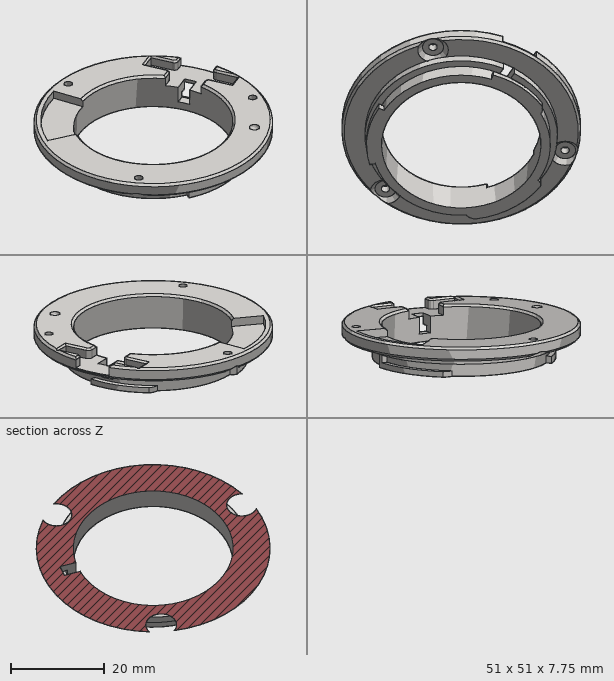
import cadquery as cq
import math

flange_thickness = 3.05
step_thickness = 1.7
total_height = 7.75
bottom_z = -total_height

flange_radius = 25.5
step_radius = 20.55
barrel_radius = 19.0
bore_radius = 34.0 / 2
tab_radius = 20.25
edge_chamfer = 0.5
chamfer_angle = 45

tab_height = 1.2
thick_tab_height = 1.55
tab_lead_in = 5.2
tab_end_bulge = 0.2
stop_end_angle = 231.2
stop_start_angle = 228.3
stop_undercut = 2.9
front_tab_end = 276.8
rear_tab_start = 125
rear_tab_end = 163.6
side_tab_start = 0
side_tab_end = 45

screw_circle_radius = 22.95
screw_hole_diameter = 1.8
screw_angles = (90, 210, 330)
countersink_radius = 3.25
countersink_depth = 1.0
countersink_angle = 45

dimple_circle_radius = 21.85
dimple_angle = 60
dimple_diameter = 2.15

pocket_outer_radius = 24.0
pocket_depth = 1.85
pocket_start_angle = 220
pocket_end_x = -0.95

recess_angle = 135
recess_depth = 2.3
recess_arm_inner = 19.45
recess_arm_outer = 22.75
recess_arm_half_length = 10.05
recess_channel_half_width = 4.15
recess_corner_radius = 0.85
recess_chamfer = 0.4
recess_channel_inner = 12.75
recess_channel_outer = 28.05

slot_width = 2.65
slot_bottom_depth = 5.95


def polar(radius, angle):
    """Point at the given radius and angle in degrees."""
    turn = math.radians(angle)
    return (radius * math.cos(turn), radius * math.sin(turn))


def disc(radius, top_z, height):
    return cq.Workplane("XY").workplane(offset=top_z - height).circle(radius).extrude(height)


def end_face(outline, target, rounded):
    """Continue a tab outline to target, flat or bulging away from the tab."""
    if rounded:
        return outline.sagittaArc(target, -tab_end_bulge)
    return outline.lineTo(*target)


def tab(inner_start, outer_start, outer_end, inner_end, height):
    """Lug on the barrel, rising from the bottom face; sloping ends are rounded."""
    root_radius = (bore_radius + barrel_radius) / 2
    outer_middle = (outer_start + outer_end) / 2
    inner_middle = (inner_start + inner_end) / 2
    outline = (
        cq.Workplane("XY")
        .workplane(offset=bottom_z)
        .moveTo(*polar(root_radius, inner_start))
        .lineTo(*polar(barrel_radius, inner_start))
    )
    outline = end_face(outline, polar(tab_radius, outer_start), inner_start != outer_start)
    outline = outline.threePointArc(polar(tab_radius, outer_middle), polar(tab_radius, outer_end))
    outline = end_face(outline, polar(barrel_radius, inner_end), inner_end != outer_end)
    return (
        outline.lineTo(*polar(root_radius, inner_end))
        .threePointArc(polar(root_radius, inner_middle), polar(root_radius, inner_start))
        .close()
        .extrude(height)
    )


def screw_holes():
    """Through holes that open into shallow flat-topped cones on the flange underside."""
    points = [polar(screw_circle_radius, angle) for angle in screw_angles]
    hole_radius = screw_hole_diameter / 2
    holes = cq.Workplane("XY").pushPoints(points).circle(hole_radius).extrude(-flange_thickness)
    cones = (
        cq.Workplane("XY")
        .workplane(offset=-flange_thickness)
        .pushPoints(points)
        .circle(countersink_radius)
        .extrude(countersink_depth, taper=countersink_angle)
    )
    return holes.union(cones)


def ring_body():
    flange = disc(flange_radius, 0, flange_thickness).edges().chamfer(edge_chamfer)
    flange = flange.cut(screw_holes())
    step = disc(step_radius, -flange_thickness, step_thickness)
    barrel_top = -flange_thickness - step_thickness
    barrel = disc(barrel_radius, barrel_top, total_height + barrel_top)
    return flange.union(step).union(barrel)


def bayonet_tabs():
    stop_height = total_height - flange_thickness - step_thickness
    stop_inner_start = stop_start_angle - stop_undercut
    stop = tab(stop_inner_start, stop_start_angle, stop_end_angle, stop_end_angle, stop_height)
    front = tab(
        stop_inner_start, stop_start_angle, front_tab_end, front_tab_end + tab_lead_in, tab_height
    )
    rear = tab(rear_tab_start, rear_tab_start, rear_tab_end, rear_tab_end + tab_lead_in, tab_height)
    side = tab(side_tab_start, side_tab_start, side_tab_end, side_tab_end, thick_tab_height)
    return front.union(stop).union(rear).union(side)


def bore():
    """Through bore with a chamfered top edge."""
    hole = disc(bore_radius, 0, total_height)
    mouth = cq.Workplane("XY").circle(bore_radius + edge_chamfer).extrude(-edge_chamfer, taper=chamfer_angle)
    return hole.union(mouth)


def dimple():
    x, y = polar(dimple_circle_radius, dimple_angle)
    return cq.Workplane("XY").sphere(dimple_diameter / 2).translate((x, y, 0))


def arc_pocket():
    """Pocket between a radial wall and a wall parallel to the YZ plane."""
    start = polar(pocket_outer_radius, pocket_start_angle)
    end = (pocket_end_x, -math.sqrt(pocket_outer_radius**2 - pocket_end_x**2))
    end_angle = 360 + math.degrees(math.atan2(end[1], end[0]))
    middle = polar(pocket_outer_radius, (pocket_start_angle + end_angle) / 2)
    return (
        cq.Workplane("XY")
        .moveTo(0, 0)
        .lineTo(*start)
        .threePointArc(middle, end)
        .lineTo(pocket_end_x, 0)
        .close()
        .extrude(-pocket_depth)
    )


def cross_recess():
    """Cross-shaped cutter with rounded inside corners and a chamfered rim."""
    half_channel = recess_channel_half_width
    half_arm = recess_arm_half_length
    half_outline = [
        (recess_channel_inner, half_channel),
        (recess_arm_inner, half_channel),
        (recess_arm_inner, half_arm),
        (recess_arm_outer, half_arm),
        (recess_arm_outer, half_channel),
        (recess_channel_outer, half_channel),
    ]
    mirrored = [(x, -y) for x, y in reversed(half_outline)]
    cross = cq.Workplane("XY").polyline(half_outline + mirrored).close().extrude(-recess_depth)
    corner_points = [
        (x, y, -recess_depth / 2)
        for x in (recess_arm_inner, recess_arm_outer)
        for y in (-half_channel, half_channel)
    ]
    for point in corner_points:
        cross = cross.edges(cq.selectors.NearestToPointSelector(point)).fillet(recess_corner_radius)
    rim = (
        cross.faces(">Z")
        .wires()
        .toPending()
        .offset2D(recess_chamfer, "intersection")
        .extrude(-recess_chamfer, taper=chamfer_angle)
    )
    return cross.union(rim)


def radial_slot():
    slot = cq.Workplane("XY").rect(step_radius, slot_width).extrude(-slot_bottom_depth)
    return slot.translate((step_radius / 2, 0, 0))


def turned_to_recess(cutter):
    return cutter.rotate((0, 0, 0), (0, 0, 1), recess_angle)


result = (
    ring_body()
    .union(bayonet_tabs())
    .cut(bore())
    .cut(dimple())
    .cut(arc_pocket())
    .cut(turned_to_recess(cross_recess()))
    .cut(turned_to_recess(radial_slot()))
)